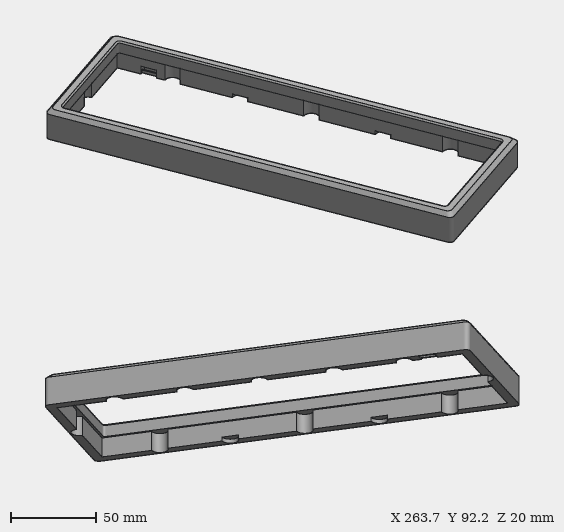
import cadquery as cq

length = 263.65
width = 92.2
height = 20.0
corner_radius = 3.0
top_chamfer = 2.5

rim_width = 7.5
opening_length = length - 2 * rim_width
opening_width = width - 2 * rim_width
opening_radius = 1.5
opening_chamfer = 1.0

wall = 6.0
recess_length = length - 2 * wall
recess_width = width - 2 * wall
recess_height = 12.0

scallop_radius = 5.0
tall_scallop_pitch = 90.0
low_scallop_offset = 46.25
low_scallop_height = 2.5

notch_start = -110.5
notch_end = -100.5
notch_height = 5.5
notch_depth = 5.0
bar_setback = 1.5
bar_thickness = 1.0
bar_height = 2.0


def block(size_x, size_y, size_z):
    """A box centred on Z, standing on the base plane."""
    return cq.Workplane("XY").box(size_x, size_y, size_z, centered=(True, True, False))


def rounded_outline(size_x, size_y, radius):
    """A flat rectangle with rounded corners."""
    return cq.Sketch().rect(size_x, size_y).vertices().fillet(radius)


def outer_body():
    """Upright sides below a chamfered band that keeps the same corner radius all the way up."""
    side_height = height - top_chamfer
    base = rounded_outline(length, width, corner_radius)
    top = rounded_outline(length - 2 * top_chamfer, width - 2 * top_chamfer, corner_radius)
    sides = cq.Workplane("XY").placeSketch(base).extrude(side_height)
    band = (
        cq.Workplane("XY", origin=(0, 0, side_height))
        .placeSketch(base, top.moved(cq.Location(cq.Vector(0, 0, top_chamfer))))
        .loft(ruled=True)
    )
    return sides.union(band)


def cut_opening(body):
    """Cut the opening through the body and chamfer its upper rim."""
    opening = block(opening_length, opening_width, height).edges("|Z").fillet(opening_radius)
    frame = body.cut(opening)
    rim = frame.faces(">Z").wires(cq.selectors.LengthNthSelector(0))
    return rim.chamfer(opening_chamfer)


def scallop(x, y, cut_height):
    return cq.Workplane("XY").center(x, y).circle(scallop_radius).extrude(cut_height)


def scallops():
    """Scallops along both long walls and one at the middle of each end wall."""
    cuts = cq.Workplane("XY")
    for side in (-1, 1):
        wall_y = side * recess_width / 2
        for step in (-1, 0, 1):
            cuts = cuts.add(scallop(step * tall_scallop_pitch, wall_y, recess_height))
        for direction in (-1, 1):
            cuts = cuts.add(scallop(direction * low_scallop_offset, wall_y, low_scallop_height))
        cuts = cuts.add(scallop(side * recess_length / 2, 0, recess_height))
    return cuts.combine()


def notch_block(start_y, size_y, size_z):
    """A box as long as the notch, standing on the base plane from start_y outwards."""
    corner = (notch_start, start_y, 0)
    notch_length = notch_end - notch_start
    return cq.Workplane("XY", origin=corner).box(notch_length, size_y, size_z, centered=False)


def barred_notch():
    wall_y = recess_width / 2
    notch = notch_block(wall_y, notch_depth, notch_height)
    bar = notch_block(wall_y + bar_setback, bar_thickness, bar_height)
    return notch.cut(bar)


frame = cut_opening(outer_body())
frame = frame.cut(block(recess_length, recess_width, recess_height))
frame = frame.cut(scallops())
result = frame.cut(barred_notch())